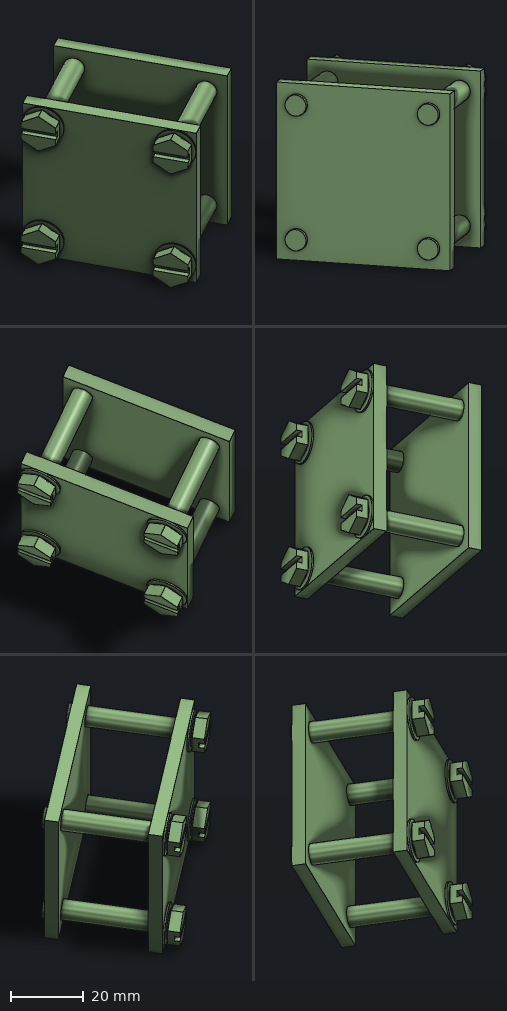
import cadquery as cq
import math

plate_side = 50.0
plate_thickness = 4.0
plate_gap = 25.0
washer_diameter = 12.0
washer_thickness = 0.5
collar_gap = 0.2
collar_diameter = 8.8
collar_thickness = 0.5
head_sides = 6
head_across_flats = 10.0
head_height = 3.5
slot_width = 1.8
slot_depth = 1.6
shank_diameter = 6.0
overall_depth = 39.0

bolt_offset = (plate_side - washer_diameter) / 2
head_across_corners = head_across_flats / math.cos(math.pi / head_sides)

back_plate_start = plate_thickness + plate_gap
washer_front = -washer_thickness
collar_back = washer_front - collar_gap
collar_front = collar_back - collar_thickness
head_front = collar_front - head_height
shank_end = head_front + overall_depth


def facing_front(y):
    """Workplane at station y whose normal points towards -Y."""
    return cq.Workplane("XZ", origin=(0, y, 0))


def make_plate(y_start):
    return facing_front(y_start + plate_thickness).rect(plate_side, plate_side).extrude(plate_thickness)


def make_bolt():
    """Shank, washer, collar and slotted hex head on the Y axis.

    The shank alone bridges the narrow gap between the washer and the collar.
    """
    shank_length = shank_end - collar_back
    shank = facing_front(shank_end).circle(shank_diameter / 2).extrude(shank_length)
    washer = facing_front(0).circle(washer_diameter / 2).extrude(washer_thickness)
    collar = facing_front(collar_back).circle(collar_diameter / 2).extrude(collar_thickness)
    head = (
        facing_front(collar_front)
        .transformed(rotate=(0, 0, 90))
        .polygon(head_sides, head_across_corners)
        .extrude(head_height)
    )
    slot = facing_front(head_front + slot_depth).rect(head_across_corners, slot_width).extrude(slot_depth)
    return shank.union(washer).union(collar).union(head.cut(slot))


result = make_plate(0).union(make_plate(back_plate_start))
bolt = make_bolt()
for x in (-bolt_offset, bolt_offset):
    for z in (-bolt_offset, bolt_offset):
        result = result.union(bolt.translate((x, 0, z)))